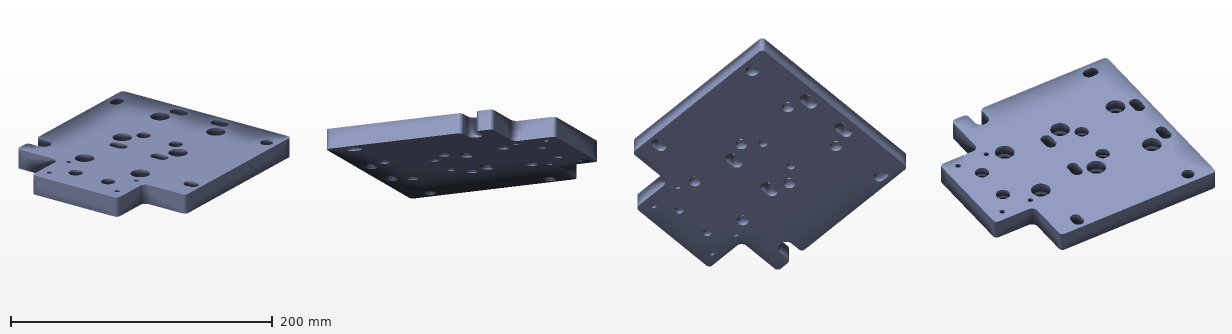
import cadquery as cq

plate_width = 158.0
plate_length = 140.0
total_length = 175.0
thickness = 16.0
tab_width = 80.0
corner_radius = 3.2
inner_radius = 5.0

mount_x = 70.0
mount_rear_y = -20.0
mount_front_y = -120.0
mount_hole = 10.0
mount_slot_length = 12.6
mount_slot_width = 9.0
notch_width = 12.0
notch_depth = 17.0

large_bore = 9.1
large_counterbore = 15.0
large_counterbore_depth = 8.0
large_x = 26.0
large_first_y = -25.0
large_pitch = 50.0
large_rows = 3

small_bore = 6.6
small_counterbore = 11.0
small_counterbore_depth = 6.0
small_x = 15.0
small_rows_y = (-62.5, -152.5)

pin_hole = 4.2
pin_x = 31.7
pin_rows_y = (-138.0, -163.6)

slot_length = 15.0
slot_width = 9.0
slot_x = 19.0
slot_rows_y = (-10.0, -90.0)


def mirrored(x, rows_y):
    """Points at -x and +x on every row."""
    return [(side * x, y) for y in rows_y for side in (-1, 1)]


def round_corners(body, corners, radius):
    """Round the vertical edge standing at each of the given corners."""
    for x, y in corners:
        edge = cq.selectors.NearestToPointSelector((x, y, thickness / 2))
        body = body.edges("|Z").edges(edge).fillet(radius)
    return body


def make_plate():
    """Plate with a narrower tab at the front and a round-ended notch in the left edge."""
    half_plate = plate_width / 2
    half_tab = tab_width / 2
    notch_rear = mount_front_y + notch_width / 2
    notch_front = mount_front_y - notch_width / 2
    notch_end = -half_plate + notch_depth
    notch_arc_x = notch_end - notch_width / 2

    body = (
        cq.Workplane("XY")
        .moveTo(-half_plate, 0)
        .lineTo(half_plate, 0)
        .lineTo(half_plate, -plate_length)
        .lineTo(half_tab, -plate_length)
        .lineTo(half_tab, -total_length)
        .lineTo(-half_tab, -total_length)
        .lineTo(-half_tab, -plate_length)
        .lineTo(-half_plate, -plate_length)
        .lineTo(-half_plate, notch_front)
        .lineTo(notch_arc_x, notch_front)
        .threePointArc((notch_end, mount_front_y), (notch_arc_x, notch_rear))
        .lineTo(-half_plate, notch_rear)
        .close()
        .extrude(thickness)
    )

    outer_corners = [
        (-half_plate, 0),
        (half_plate, 0),
        (half_plate, -plate_length),
        (half_tab, -total_length),
        (-half_tab, -total_length),
        (-half_plate, -plate_length),
        (-half_plate, notch_front),
        (-half_plate, notch_rear),
    ]
    inner_corners = mirrored(half_tab, [-plate_length])
    body = round_corners(body, outer_corners, corner_radius)
    return round_corners(body, inner_corners, inner_radius)


def drill(body, points, diameter):
    """Plain round holes right through the plate."""
    return body.cut(cq.Workplane("XY").pushPoints(points).circle(diameter / 2).extrude(thickness))


def counterbore(body, points, bore, head_diameter, head_depth):
    """Through holes with a wider flat-bottomed recess from the top face."""
    recess = (
        cq.Workplane("XY")
        .workplane(offset=thickness - head_depth)
        .pushPoints(points)
        .circle(head_diameter / 2)
        .extrude(head_depth)
    )
    return drill(body, points, bore).cut(recess)


def cut_slots(body, points, length, width, angle=0):
    """Round-ended slots right through the plate; angle 0 runs along X."""
    return body.cut(cq.Workplane("XY").pushPoints(points).slot2D(length, width, angle).extrude(thickness))


result = make_plate()

large_rows_y = [large_first_y - row * large_pitch for row in range(large_rows)]
large_points = mirrored(large_x, large_rows_y)
result = counterbore(result, large_points, large_bore, large_counterbore, large_counterbore_depth)
small_points = mirrored(small_x, small_rows_y)
result = counterbore(result, small_points, small_bore, small_counterbore, small_counterbore_depth)

result = drill(result, mirrored(pin_x, pin_rows_y), pin_hole)
result = cut_slots(result, mirrored(slot_x, slot_rows_y), slot_length, slot_width)

result = drill(result, [(mount_x, mount_rear_y)], mount_hole)
result = cut_slots(result, [(-mount_x, mount_rear_y)], mount_slot_length, mount_slot_width, 90)
result = cut_slots(result, [(mount_x, mount_front_y)], mount_slot_length, mount_slot_width)